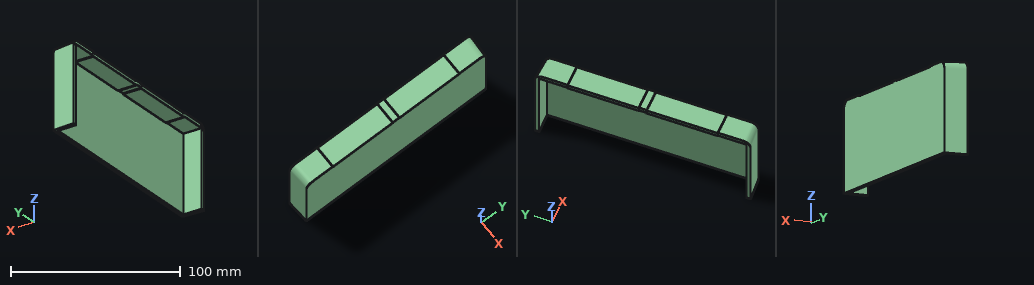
import cadquery as cq
import math

depth = 15.0
back_width = 135.0
back_height = 55.5
draft_angle = 3.0
wall = 2.0
corner_radius = 5.0

step_drop = 0.5
step_length = 45.0
land_width = 5.0

flare = depth * math.tan(math.radians(draft_angle))
front_width = back_width + 2 * flare
front_height = back_height + flare

cavity_depth = depth - wall
cavity_width = back_width - 2 * wall
cavity_height = back_height - wall

step_center = (land_width + step_length) / 2


def centered_block(x_size, y_size, z_size):
    """Block starting at X = 0 and Z = 0, centered on Y."""
    return cq.Workplane("XY").box(x_size, y_size, z_size, centered=(False, True, False))


def drafted_block():
    """Outer body: flat base, with roof and sides drafted and the roof corners rounded."""
    body = (
        cq.Workplane("YZ")
        .center(0, front_height / 2)
        .rect(front_width, front_height)
        .workplane(offset=depth)
        .center(0, (back_height - front_height) / 2)
        .rect(back_width, back_height)
        .loft(ruled=True)
    )
    roof_corners = body.faces(">Z").edges("not |Y")
    return roof_corners.fillet(corner_radius)


def roof_step(y_center):
    """Wedge that lowers the drafted roof by the step drop over one step length."""
    return (
        cq.Workplane("XZ")
        .polyline([
            (0, front_height - step_drop),
            (depth, back_height - step_drop),
            (depth, front_height),
            (0, front_height),
        ])
        .close()
        .extrude(step_length / 2, both=True)
        .translate((0, y_center, 0))
    )


def cavity():
    """Straight-walled cavity whose ceiling drops below each roof step."""
    space = centered_block(cavity_depth, cavity_width, cavity_height)
    for side in (-1, 1):
        ceiling_drop = centered_block(cavity_depth, step_length, step_drop)
        space = space.cut(ceiling_drop.translate((0, side * step_center, cavity_height - step_drop)))
    return space


result = drafted_block()
for side in (-1, 1):
    result = result.cut(roof_step(side * step_center))
result = result.cut(cavity())